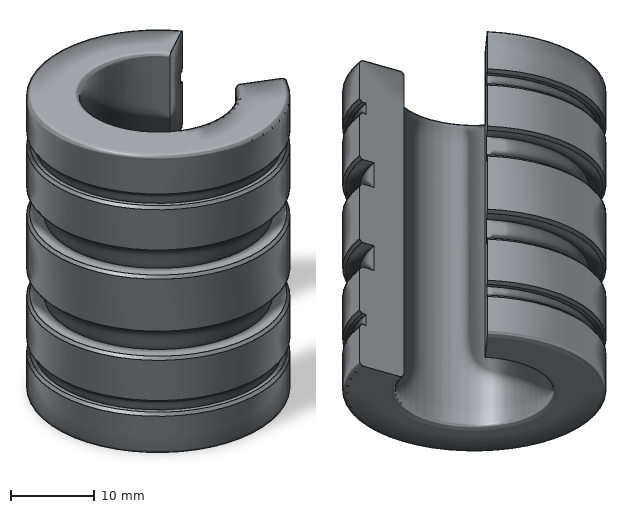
import cadquery as cq
import math

length = 41.1
outer_radius = 15.85
bore_radius = 9.5

end_fillet = 0.6
groove_chamfer = 0.35

narrow_groove_radius = 14.9
narrow_groove_width = 1.45
narrow_groove_offset = 14.2
wide_groove_radius = 13.8
wide_groove_width = 3.3
wide_groove_offset = 5.6

opening_angle = 60.0
opening_apex_y = -1.75
opening_reach_y = outer_radius + 0.4


def revolve_profile(points):
    """Revolve (radius, height) points about the Z axis."""
    return cq.Workplane("XZ").polyline(points).close().revolve(360, (0, 0, 0), (0, 1, 0))


def make_tube():
    """Tube with rounded outer and bore edges at both ends."""
    return (
        cq.Workplane("XY")
        .circle(outer_radius)
        .circle(bore_radius)
        .extrude(length / 2, both=True)
        .faces("|Z")
        .edges()
        .fillet(end_fillet)
    )


def make_groove(floor_radius, width, center_z):
    """Ring cutter for a groove whose rims are chamfered."""
    half = width / 2
    rim = outer_radius - groove_chamfer
    mouth = half + groove_chamfer
    return revolve_profile([
        (floor_radius, -half),
        (rim, -half),
        (outer_radius, -mouth),
        (outer_radius + groove_chamfer, -mouth),
        (outer_radius + groove_chamfer, mouth),
        (outer_radius, mouth),
        (rim, half),
        (floor_radius, half),
    ]).translate((0, 0, center_z))


def make_opening():
    """Wedge cutter that opens the sleeve along its whole length."""
    half_width = (opening_reach_y - opening_apex_y) * math.tan(math.radians(opening_angle / 2))
    return (
        cq.Workplane("XY")
        .polyline([
            (0, opening_apex_y),
            (half_width, opening_reach_y),
            (-half_width, opening_reach_y),
        ])
        .close()
        .extrude(length / 2, both=True)
    )


def make_sleeve():
    """Open C-shaped sleeve with four outer ring grooves."""
    sleeve = make_tube()
    for side in (-1, 1):
        narrow_groove = make_groove(narrow_groove_radius, narrow_groove_width, side * narrow_groove_offset)
        wide_groove = make_groove(wide_groove_radius, wide_groove_width, side * wide_groove_offset)
        sleeve = sleeve.cut(narrow_groove).cut(wide_groove)
    return sleeve.cut(make_opening())


sleeve = make_sleeve()
result = cq.Compound.makeCompound([sleeve.val()])